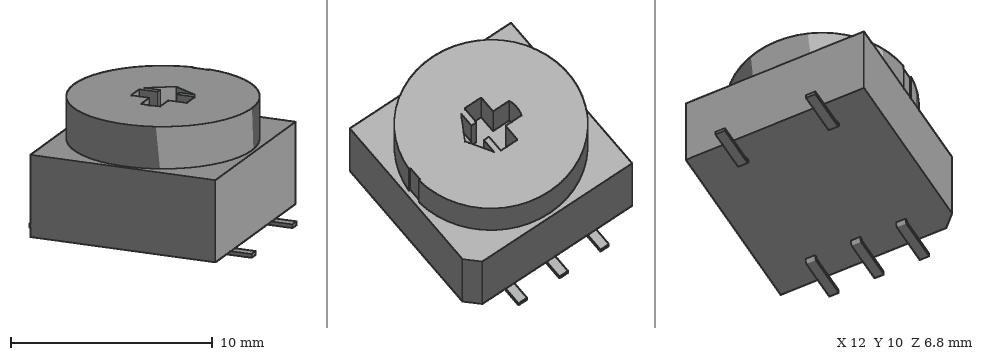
import cadquery as cq
import math

HOUSING_SIDE = 10.0
STANDOFF = 0.3
BASE_HEIGHT = 1.23
HOUSING_HEIGHT = 4.3
CORNER_CHAMFER = 0.7

OVERALL_HEIGHT = 6.8
DIAL_RADIUS = 4.8
NOTCH_WIDTH = 0.8
NOTCH_FLOOR_Y = 4.7

ROTOR_RADIUS = 2.05
SLOT_WIDTH = 1.03
CROSS_SLOT_LENGTH = 3.0
LONG_SLOT_RADIUS = 1.6
CROSS_DEPTH = 2.0
ARROW_TIP_Y = 1.62
ARROW_BASE_Y = 0.83
ARROW_SLOPE = math.radians(30)
ARROW_DEPTH = 1.65

LEAD_SPAN = 12.0
LEAD_WIDTH = 0.53
LEAD_THICKNESS = 0.2
LEAD_ROOT_X = 3.5
LEAD_PITCH = 2.54
LEFT_LEAD_ROWS = (-1, 0, 1)
RIGHT_LEAD_ROWS = (-1, 1)

base_top = STANDOFF + BASE_HEIGHT
housing_top = STANDOFF + HOUSING_HEIGHT
dial_height = OVERALL_HEIGHT - housing_top


def housing_layer(bottom, top):
    """Square slab with the index chamfer on its -X, +Y corner."""
    slab = cq.Workplane("XY").workplane(offset=bottom).rect(HOUSING_SIDE, HOUSING_SIDE).extrude(top - bottom)
    return slab.edges("|Z and <X and >Y").chamfer(CORNER_CHAMFER)


def dial():
    """Ring around the rotor, with an index notch in its +Y rim."""
    ring = (
        cq.Workplane("XY")
        .workplane(offset=housing_top)
        .circle(DIAL_RADIUS)
        .circle(ROTOR_RADIUS)
        .extrude(dial_height)
    )
    notch_reach = DIAL_RADIUS - NOTCH_FLOOR_Y
    notch = (
        cq.Workplane("XY")
        .workplane(offset=housing_top)
        .center(0, NOTCH_FLOOR_Y + notch_reach / 2)
        .rect(NOTCH_WIDTH, notch_reach)
        .extrude(dial_height)
    )
    return ring.cut(notch)


def cross_socket():
    """Cross pocket: flat-ended X slot, and a Y slot rounded at -Y that ends in the arrow tip at +Y."""
    plane = cq.Workplane("XY").workplane(offset=OVERALL_HEIGHT)
    half_slot = SLOT_WIDTH / 2
    rounded_corner_y = -math.sqrt(LONG_SLOT_RADIUS**2 - half_slot**2)
    shoulder_y = ARROW_TIP_Y - half_slot * math.tan(ARROW_SLOPE)
    y_slot = (
        plane.moveTo(-half_slot, rounded_corner_y)
        .threePointArc((0, -LONG_SLOT_RADIUS), (half_slot, rounded_corner_y))
        .lineTo(half_slot, shoulder_y)
        .lineTo(0, ARROW_TIP_Y)
        .lineTo(-half_slot, shoulder_y)
        .close()
        .extrude(-CROSS_DEPTH)
    )
    x_slot = plane.rect(CROSS_SLOT_LENGTH, SLOT_WIDTH).extrude(-CROSS_DEPTH)
    return y_slot.union(x_slot)


def arrow_socket():
    """Shallower triangular pocket that turns the +Y arm of the cross into an arrow."""
    half_base = (ARROW_TIP_Y - ARROW_BASE_Y) / math.tan(ARROW_SLOPE)
    return (
        cq.Workplane("XY")
        .workplane(offset=OVERALL_HEIGHT)
        .moveTo(-half_base, ARROW_BASE_Y)
        .lineTo(half_base, ARROW_BASE_Y)
        .lineTo(0, ARROW_TIP_Y)
        .close()
        .extrude(-ARROW_DEPTH)
    )


def rotor():
    """Round plug filling the dial, with the arrow-shaped cross socket."""
    plug = cq.Workplane("XY").workplane(offset=housing_top).circle(ROTOR_RADIUS).extrude(dial_height)
    return plug.cut(cross_socket()).cut(arrow_socket())


def lead(side, y):
    """L-shaped lead with a rounded outer bend; side is -1 for -X and +1 for +X."""
    tip_x = side * LEAD_SPAN / 2
    root_x = side * LEAD_ROOT_X
    upright_x = root_x + side * LEAD_THICKNESS
    bend_sag = LEAD_THICKNESS * (1 - math.sqrt(0.5))
    return (
        cq.Workplane("XZ", origin=(0, y, 0))
        .moveTo(tip_x, 0)
        .lineTo(upright_x, 0)
        .threePointArc((root_x + side * bend_sag, bend_sag), (root_x, LEAD_THICKNESS))
        .lineTo(root_x, STANDOFF)
        .lineTo(upright_x, STANDOFF)
        .lineTo(upright_x, LEAD_THICKNESS)
        .lineTo(tip_x, LEAD_THICKNESS)
        .close()
        .extrude(LEAD_WIDTH / 2, both=True)
    )


result = housing_layer(STANDOFF, base_top)
result = result.union(housing_layer(base_top, housing_top), clean=False)
result = result.union(dial(), clean=False)
result = result.union(rotor(), clean=False)
for side, rows in ((-1, LEFT_LEAD_ROWS), (1, RIGHT_LEAD_ROWS)):
    for row in rows:
        result = result.union(lead(side, row * LEAD_PITCH), clean=False)